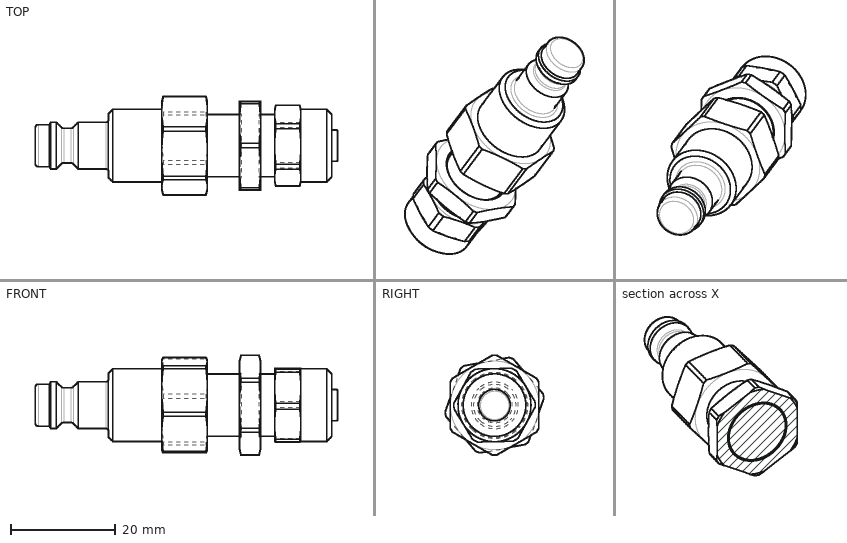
import cadquery as cq
import math

collar_start = 2.7
collar_crest_start = 3.0
collar_crest_end = 4.05
shank_start = 8.25
body_start = 14.05
body_hex_start = 24.25
body_hex_end = 33.0
lock_nut_start = 39.15
lock_nut_end = 43.2
cap_start = 45.9
cap_hex_end = 50.9
cap_end = 56.85
total_length = 58.0

tip_diameter = 8.1
plug_diameter = 9.0
groove_diameter = 6.7
body_diameter = 14.0
thread_diameter = 12.0
tube_diameter = 6.05

tip_fillet = 0.6
groove_fillet = 0.6
shank_fillet = 0.5
body_chamfer = 0.85
cap_chamfer = 1.0
tube_fillet = 0.3

nut_across_flats = 17.0
nut_corner_diameter = 19.15
body_hex_angle = 10.5
lock_nut_angle = 30.0
nut_countersink_diameter = 12.7
cap_across_flats = 14.0
cap_corner_diameter = 15.55
cap_hex_angle = 1.3
hex_chamfer_angle = 15.0
corners_per_hexagon = 6


def cylinder(start, end, diameter):
    """Round bar along X."""
    return cq.Workplane("YZ", origin=(start, 0, 0)).circle(diameter / 2).extrude(end - start)


def revolve_about_x(profile):
    """Full turn of a closed XY profile about the X axis."""
    return profile.revolve(360, (0, 0, 0), (1, 0, 0))


def double_ended_bar(start, end, end_radius, middle_radius, taper_length):
    """Round bar along X whose radius changes conically at both ends."""
    profile = (
        cq.Workplane("XY")
        .moveTo(start, 0)
        .lineTo(start, end_radius)
        .lineTo(start + taper_length, middle_radius)
        .lineTo(end - taper_length, middle_radius)
        .lineTo(end, end_radius)
        .lineTo(end, 0)
        .close()
    )
    return revolve_about_x(profile)


def make_plug():
    """Plug end: tip, collar, 45 degree latching groove and shank."""
    tip_radius = tip_diameter / 2
    plug_radius = plug_diameter / 2
    groove_radius = groove_diameter / 2
    groove_depth = plug_radius - groove_radius
    flank_angle = math.radians(45)
    groove_start = collar_crest_end + groove_depth
    groove_end = shank_start - groove_depth

    along_floor = groove_fillet * math.tan(flank_angle / 2)
    along_flank = along_floor * math.cos(flank_angle)
    bulge_along = groove_fillet * math.sin(flank_angle / 2)
    bulge_up = groove_fillet * (1 - math.cos(flank_angle / 2))

    tip_mid = tip_fillet * (1 - math.sqrt(0.5))
    shank_mid = shank_fillet * math.sqrt(0.5)
    shank_fillet_start = body_start - shank_fillet
    shank_fillet_radius = plug_radius + shank_fillet
    floor_start = groove_start + along_floor
    floor_end = groove_end - along_floor

    profile = (
        cq.Workplane("XY")
        .moveTo(0, 0)
        .lineTo(0, tip_radius - tip_fillet)
        .threePointArc((tip_mid, tip_radius - tip_mid), (tip_fillet, tip_radius))
        .lineTo(collar_start, tip_radius)
        .lineTo(collar_crest_start, plug_radius)
        .lineTo(collar_crest_end, plug_radius)
        .lineTo(groove_start - along_flank, groove_radius + along_flank)
        .threePointArc(
            (floor_start - bulge_along, groove_radius + bulge_up),
            (floor_start, groove_radius),
        )
        .lineTo(floor_end, groove_radius)
        .threePointArc(
            (floor_end + bulge_along, groove_radius + bulge_up),
            (groove_end + along_flank, groove_radius + along_flank),
        )
        .lineTo(shank_start, plug_radius)
        .lineTo(shank_fillet_start, plug_radius)
        .threePointArc(
            (shank_fillet_start + shank_mid, shank_fillet_radius - shank_mid),
            (body_start, shank_fillet_radius),
        )
        .lineTo(body_start, 0)
        .close()
    )
    return revolve_about_x(profile)


def make_body():
    """Main barrel with its chamfered front shoulder, and the threaded stem."""
    barrel_radius = body_diameter / 2
    barrel_profile = (
        cq.Workplane("XY")
        .moveTo(body_start, 0)
        .lineTo(body_start, barrel_radius - body_chamfer)
        .lineTo(body_start + body_chamfer, barrel_radius)
        .lineTo(body_hex_start, barrel_radius)
        .lineTo(body_hex_start, 0)
        .close()
    )
    barrel = revolve_about_x(barrel_profile)
    stem = cylinder(body_hex_start, cap_start, thread_diameter)
    return barrel.union(stem)


def make_hexagon(start, end, across_flats, corner_diameter, corner_angle):
    """Hexagon along X with rounded corners and conically chamfered ends."""
    prism = (
        cq.Workplane("YZ", origin=(start, 0, 0))
        .polygon(corners_per_hexagon, across_flats / math.cos(math.pi / corners_per_hexagon))
        .extrude(end - start)
        .rotate((0, 0, 0), (1, 0, 0), corner_angle)
    )
    chamfer_depth = (corner_diameter - across_flats) / 2
    chamfer_length = chamfer_depth * math.tan(math.radians(hex_chamfer_angle))
    flat_radius = across_flats / 2
    corner_radius = corner_diameter / 2
    envelope = double_ended_bar(start, end, flat_radius, corner_radius, chamfer_length)
    return prism.intersect(envelope)


def make_lock_nut():
    """Lock nut, countersunk around the threaded stem at both ends."""
    nut = make_hexagon(
        lock_nut_start, lock_nut_end, nut_across_flats, nut_corner_diameter, lock_nut_angle
    )
    stem_radius = thread_diameter / 2
    mouth_radius = nut_countersink_diameter / 2
    depth = mouth_radius - stem_radius
    bore = double_ended_bar(lock_nut_start, lock_nut_end, mouth_radius, stem_radius, depth)
    return nut.cut(bore)


def make_cap():
    """Round clamping cap with a chamfered rear edge, and the tube leaving it."""
    cap = cylinder(cap_start, cap_end, body_diameter).faces(">X").edges().chamfer(cap_chamfer)
    tube = cylinder(cap_start, total_length, tube_diameter).faces(">X").edges().fillet(tube_fillet)
    return cap.union(tube)


body_hex = make_hexagon(
    body_hex_start, body_hex_end, nut_across_flats, nut_corner_diameter, body_hex_angle
)
cap_hex = make_hexagon(
    cap_start, cap_hex_end, cap_across_flats, cap_corner_diameter, cap_hex_angle
)

result = make_plug().union(make_body())
for section in (body_hex, make_lock_nut(), make_cap(), cap_hex):
    result = result.union(section)